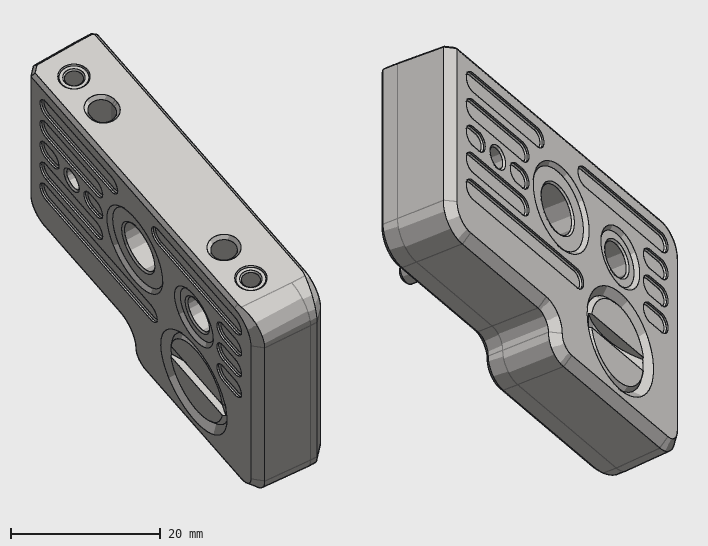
import cadquery as cq
import math

LENGTH = 55.45
HEIGHT = 36.3
DEPTH = 11.4
PARTING_DEPTH = 8.55
DRAFT_ANGLE = 2.0
DRAFT = PARTING_DEPTH * math.tan(math.radians(DRAFT_ANGLE))

UPPER_RIGHT_RADIUS = 4.5
LOWER_RIGHT_RADIUS = 3.55
LOWER_LEFT_RADIUS = 4.5
STEP_X = 24.95
STEP_OUTER_RADIUS = 3.55
STEP_INNER_RADIUS = 2.5
STEP_HEIGHT = STEP_OUTER_RADIUS + STEP_INNER_RADIUS

FRONT_BEVEL = 1.3
BACK_BEVEL = 0.55
BACK_RIGHT_BEVEL = 1.85
TOP_BEVEL = 0.55
BEVEL_REACH = 2.1
CUT_MARGIN = 2.8

ALONG_Y = (0, 1, 0)
DOWN = (0, 0, -1)

SLOT_WIDTH = 3.1
SLOT_DEPTH = 0.5
SLOT_EDGE = 0.2
SLOT_PITCH = 4.4
TOP_ROW_Z = 32.45
LEFT_X = 3.75
LEFT_END_X = 18.65
RIGHT_X = 45.8
RIGHT_END_X = 51.6
SLOT_ROWS = [
    [(LEFT_X, 22.2), (30.3, RIGHT_END_X)],
    [(LEFT_X, LEFT_END_X), (RIGHT_X, RIGHT_END_X)],
    [(LEFT_X, 8.25), (14.2, LEFT_END_X), (RIGHT_X, RIGHT_END_X)],
    [(LEFT_X, LEFT_END_X), (RIGHT_X, RIGHT_END_X)],
    [(LEFT_X, 31.6)],
]

BORE_Z = 24.25
MAIN_BORE_X = 26.3
MAIN_BORE_DIAMETER = 7.3
MAIN_SEAT_DIAMETER = 12.15
SCREW_X = 40.3
SCREW_Z = 10.55
SIDE_BORE_DIAMETER = 5.2
SIDE_BORE_DEPTH = 6.65
SIDE_SEAT_DIAMETER = 8.1
SEAT_DEPTH = 0.55
SEAT_EDGE = 0.55
BORE_EDGE = 0.3
PILOT_X = 11.25
PILOT_Z = TOP_ROW_Z - 2 * SLOT_PITCH
PILOT_DIAMETER = 3.1
PILOT_DEPTH = 3.3

RECESS_DIAMETER = 15.75
HEAD_DIAMETER = 13.65
HEAD_EDGE = 0.6
RECESS_DEPTH = (RECESS_DIAMETER - HEAD_DIAMETER) / 2
DRIVE_WIDTH = 2.2
DRIVE_DEPTH = 1.65

LARGE_PIN_DIAMETER = 6.3
LARGE_PIN_LENGTH = 4.4
LARGE_PIN_EDGE = 1.0
SMALL_PIN_DIAMETER = 3.1
SMALL_PIN_LENGTH = 3.75
SMALL_PIN_EDGE = 0.5

TOP_HOLE_Y = 4.5
SMALL_HOLE_XS = (5.2, 47.25)
SMALL_HOLE_DIAMETER = 2.55
SMALL_RIM_DIAMETER = 4.3
SMALL_SEAT_DIAMETER = 4.0
SMALL_HOLE_EDGE = 0.2
DOWEL_X = 40.85
DOWEL_SLOT_X = 11.9
DOWEL_DIAMETER = 3.55
DOWEL_EDGE = 0.5
DOWEL_SLOT_STRETCH = 0.5
TOP_HOLE_DEPTH = 5.55


def outline(depth, draft=0, bevel=0, right_bevel=0, top_bevel=0):
    """Closed outline of the block at a depth along Y.

    The draft moves every wall but the top inward and keeps the corner radii.
    The bevels move the walls further inward and change the radii to suit.
    """
    left = draft + bevel
    right = LENGTH - draft - right_bevel
    bottom = draft + bevel
    top = HEIGHT - top_bevel
    ledge = STEP_HEIGHT + draft + bevel
    step_wall = STEP_X + draft + bevel
    upper_right = UPPER_RIGHT_RADIUS - top_bevel
    lower_right = LOWER_RIGHT_RADIUS - bevel
    lower_left = LOWER_LEFT_RADIUS - bevel
    step_outer = STEP_OUTER_RADIUS - bevel
    step_inner = STEP_INNER_RADIUS + bevel
    return (
        cq.Workplane("XZ", origin=(0, depth, 0))
        .moveTo(left, top)
        .lineTo(right - upper_right, top)
        .tangentArcPoint((right, top - upper_right), relative=False)
        .lineTo(right, bottom + lower_right)
        .tangentArcPoint((right - lower_right, bottom), relative=False)
        .lineTo(step_wall + step_outer, bottom)
        .tangentArcPoint((step_wall, bottom + step_outer), relative=False)
        .tangentArcPoint((step_wall - step_inner, ledge), relative=False)
        .lineTo(left + lower_left, ledge)
        .tangentArcPoint((left, ledge + lower_left), relative=False)
        .close()
        .val()
    )


def ruled_block(start, end):
    return cq.Workplane(cq.Solid.makeLoft([start, end], True))


def bevel_cutter(face_depth, direction, draft, bevel, right_bevel, top_bevel):
    """Slab with a 45 degree opening whose small end is the outline of the face at face_depth."""
    inner_depth = face_depth + direction * BEVEL_REACH
    face = outline(face_depth, draft, bevel, right_bevel, top_bevel)
    inner = outline(
        inner_depth,
        draft,
        bevel - BEVEL_REACH,
        right_bevel - BEVEL_REACH,
        top_bevel - BEVEL_REACH,
    )
    slab = (
        cq.Workplane("XY")
        .box(LENGTH + 2 * CUT_MARGIN, BEVEL_REACH, HEIGHT + 2 * CUT_MARGIN)
        .translate((LENGTH / 2, (face_depth + inner_depth) / 2, HEIGHT / 2))
    )
    return slab.cut(ruled_block(face, inner))


def left_top_cutter():
    """Slab over the left end with a 45 degree opening that follows the walls of the block."""
    wall_lean = DRAFT * (1 - FRONT_BEVEL / PARTING_DEPTH)
    opening = (
        cq.Workplane("XY", origin=(0, 0, HEIGHT - TOP_BEVEL))
        .moveTo(LENGTH / 2, 0)
        .lineTo(DRAFT + FRONT_BEVEL, 0)
        .lineTo(wall_lean, FRONT_BEVEL)
        .lineTo(0, PARTING_DEPTH)
        .lineTo(0, DEPTH - BACK_BEVEL)
        .lineTo(BACK_BEVEL, DEPTH)
        .lineTo(LENGTH / 2, DEPTH)
        .close()
        .extrude(TOP_BEVEL, taper=45)
    )
    slab = cq.Workplane("XY").box(
        2 * CUT_MARGIN,
        DEPTH + 2 * CUT_MARGIN,
        TOP_BEVEL,
    ).translate((0, DEPTH / 2, HEIGHT - TOP_BEVEL / 2))
    return slab.cut(opening)


def make_block():
    parting = outline(PARTING_DEPTH)
    drafted = ruled_block(outline(0, DRAFT), parting)
    straight = ruled_block(parting, outline(DEPTH))
    block = drafted.union(straight)
    block = block.cut(bevel_cutter(0, 1, DRAFT, FRONT_BEVEL, FRONT_BEVEL, TOP_BEVEL))
    block = block.cut(bevel_cutter(DEPTH, -1, 0, BACK_BEVEL, BACK_RIGHT_BEVEL, TOP_BEVEL))
    return block.cut(left_top_cutter())


def cone(origin, direction, start_diameter, end_diameter, depth):
    """Round cutter or pin end that starts at the origin and runs along the direction."""
    return cq.Workplane(
        cq.Solid.makeCone(
            start_diameter / 2,
            end_diameter / 2,
            depth,
            cq.Vector(*origin),
            cq.Vector(*direction),
        )
    )


def cylinder(origin, direction, diameter, depth):
    return cq.Workplane(
        cq.Solid.makeCylinder(diameter / 2, depth, cq.Vector(*origin), cq.Vector(*direction))
    )


def bevelled_hole(origin, direction, diameter, depth, edge):
    """Hole cutter with a 45 degree bevel at its mouth."""
    mouth = cone(origin, direction, diameter + 2 * edge, diameter, edge)
    return cylinder(origin, direction, diameter, depth).union(mouth)


def face_slot(start, end, z):
    """Slot with bevelled floor edges between two X positions."""
    length = end - start
    return (
        cq.Workplane("XZ")
        .center((start + end) / 2, z)
        .slot2D(length, SLOT_WIDTH)
        .extrude(-SLOT_DEPTH)
        .faces(">Y")
        .chamfer(SLOT_EDGE)
    )


def seated_bore(x, seat_diameter, bore_diameter, depth):
    """Shallow flared seat with a bevelled bore in its floor."""
    seat = cone((x, 0, BORE_Z), ALONG_Y, seat_diameter + 2 * SEAT_EDGE, seat_diameter, SEAT_DEPTH)
    bore = bevelled_hole((x, SEAT_DEPTH, BORE_Z), ALONG_Y, bore_diameter, depth, BORE_EDGE)
    return seat.union(bore)


def screw_recess():
    """Flared recess that leaves the bevelled, slotted screw head standing in it."""
    top_diameter = HEAD_DIAMETER - 2 * HEAD_EDGE
    head_face = RECESS_DEPTH - HEAD_EDGE
    recess = cone((SCREW_X, 0, SCREW_Z), ALONG_Y, RECESS_DIAMETER, HEAD_DIAMETER, RECESS_DEPTH)
    head = cone((SCREW_X, head_face, SCREW_Z), ALONG_Y, top_diameter, HEAD_DIAMETER, HEAD_EDGE)
    return recess.cut(head).union(drive_slot(head_face))


def drive_slot(head_face):
    """Slot across the head with an arched floor, deepest in the middle."""
    half_span = (HEAD_DIAMETER - HEAD_EDGE) / 2
    end_depth = head_face + HEAD_EDGE / 2
    return (
        cq.Workplane("XY", origin=(SCREW_X, 0, SCREW_Z - DRIVE_WIDTH / 2))
        .moveTo(-half_span, head_face)
        .lineTo(-half_span, end_depth)
        .threePointArc((0, head_face + DRIVE_DEPTH), (half_span, end_depth))
        .lineTo(half_span, head_face)
        .close()
        .extrude(DRIVE_WIDTH)
    )


def back_pin(x, diameter, length, edge):
    """Pin with a bevelled tip, standing on the back face."""
    shank = cylinder((x, DEPTH, SCREW_Z), ALONG_Y, diameter, length - edge)
    tip = cone((x, DEPTH + length - edge, SCREW_Z), ALONG_Y, diameter, diameter - 2 * edge, edge)
    return shank.union(tip)


def rimmed_hole(x):
    """Hole in the top face with a shallow flared rim."""
    rim_edge = (SMALL_RIM_DIAMETER - SMALL_SEAT_DIAMETER) / 2
    rim = cone((x, TOP_HOLE_Y, HEIGHT), DOWN, SMALL_RIM_DIAMETER, SMALL_SEAT_DIAMETER, rim_edge)
    origin = (x, TOP_HOLE_Y, HEIGHT - rim_edge)
    return rim.union(bevelled_hole(origin, DOWN, SMALL_HOLE_DIAMETER, TOP_HOLE_DEPTH, SMALL_HOLE_EDGE))


def dowel_slot():
    """Dowel hole stretched along X, with the same bevelled mouth as the round one."""
    length = DOWEL_DIAMETER + DOWEL_SLOT_STRETCH
    top = cq.Workplane("XY", origin=(DOWEL_SLOT_X, TOP_HOLE_Y, HEIGHT))
    hole = top.slot2D(length, DOWEL_DIAMETER).extrude(-TOP_HOLE_DEPTH)
    mouth = top.slot2D(length + 2 * DOWEL_EDGE, DOWEL_DIAMETER + 2 * DOWEL_EDGE)
    return hole.union(mouth.extrude(-DOWEL_EDGE, taper=45))


result = make_block()

for row, spans in enumerate(SLOT_ROWS):
    for start, end in spans:
        result = result.cut(face_slot(start, end, TOP_ROW_Z - row * SLOT_PITCH))

result = result.cut(seated_bore(MAIN_BORE_X, MAIN_SEAT_DIAMETER, MAIN_BORE_DIAMETER, DEPTH))
result = result.cut(seated_bore(SCREW_X, SIDE_SEAT_DIAMETER, SIDE_BORE_DIAMETER, SIDE_BORE_DEPTH))
result = result.cut(
    bevelled_hole((PILOT_X, 0, PILOT_Z), ALONG_Y, PILOT_DIAMETER, PILOT_DEPTH, BORE_EDGE)
)
result = result.cut(screw_recess())

for x in SMALL_HOLE_XS:
    result = result.cut(rimmed_hole(x))
result = result.cut(dowel_slot())
result = result.cut(
    bevelled_hole((DOWEL_X, TOP_HOLE_Y, HEIGHT), DOWN, DOWEL_DIAMETER, TOP_HOLE_DEPTH, DOWEL_EDGE)
)

result = result.union(back_pin(SCREW_X, LARGE_PIN_DIAMETER, LARGE_PIN_LENGTH, LARGE_PIN_EDGE))
result = result.union(back_pin(PILOT_X, SMALL_PIN_DIAMETER, SMALL_PIN_LENGTH, SMALL_PIN_EDGE))